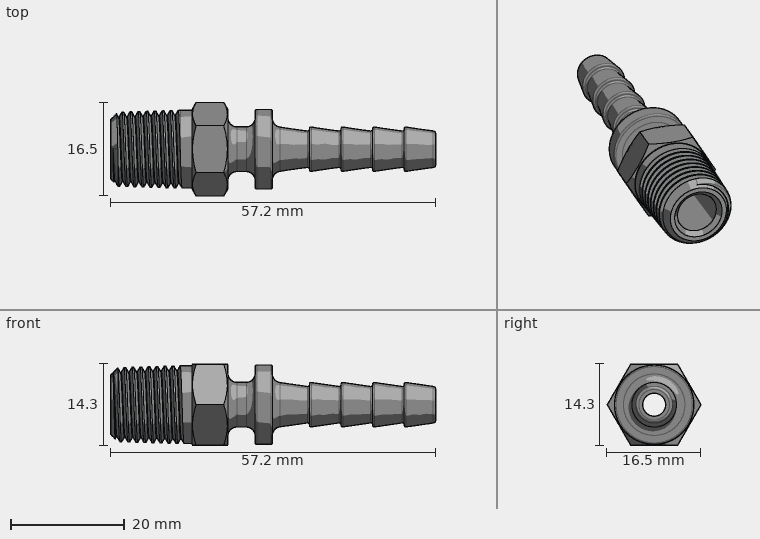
import cadquery as cq
import math

INCH = 25.4


THREAD_PITCH = INCH / 18
THREAD_RADIUS = 0.540 * INCH / 2
THREAD_TAPER = 1 / 32
TAPER_END = 12.25
FLANK_ANGLE = 30.0
CREST_FLAT = 0.3
ROOT_FLAT = 0.15
GROOVE_LAST_BOTTOM = 12.38
GROOVE_TURNS = 10
GROOVE_RUNOUT_TURNS = 0.125
CUTTER_OVERLAP = 0.1
ENTRY_FACE_RADIUS = 5.2

HEX_START = 9 / 16 * INCH
HEX_END = HEX_START + INCH / 4
HEX_SIDES = 6
HEX_FLATS = 9 / 16 * INCH
HEX_CHAMFER_RADIUS = 6.95
HEX_CHAMFER_LENGTH = 0.75

NECK_RADIUS = 3.95
NECK_FILLET = 1.55
FLANGE_START = 1.0 * INCH
FLANGE_WIDTH = 3.05
FLANGE_END = FLANGE_START + FLANGE_WIDTH
FLANGE_RADIUS = 7.0
FLANGE_ROUND = 0.3

TOTAL_LENGTH = 2.25 * INCH
BARB_COUNT = 4
FIRST_BARB = 1.375 * INCH
BARB_PITCH = (TOTAL_LENGTH - FIRST_BARB) / BARB_COUNT
BARB_RADIUS = 3.97
TAIL_ROOT_RADIUS = 3.17
TAIL_FILLET = 1.5
BARB_ROUND = 0.3
TIP_ROUND = 0.55

BORE_RADIUS = 2.0
ENTRY_BORE_RADIUS = 3.6
ENTRY_BORE_DEPTH = HEX_START
ENTRY_CHAMFER = 0.8
DRILL_HALF_ANGLE = 59.0

EDGE_TOLERANCE = 0.01


def revolve_about_x(points):
    """Solid of revolution about X from a closed (x, radius) outline."""
    return cq.Workplane("XZ").polyline(points).close().revolve(360, (0, 0, 0), (1, 0, 0))


def fillet_circle(body, x, radius, size):
    """Round the circular edge of the given radius that lies at x."""
    reach = radius + EDGE_TOLERANCE
    inner = radius - EDGE_TOLERANCE
    within_reach = cq.selectors.BoxSelector(
        (x - EDGE_TOLERANCE, -reach, -reach), (x + EDGE_TOLERANCE, reach, reach), boundingbox=True)
    smaller = cq.selectors.BoxSelector(
        (x - EDGE_TOLERANCE, -inner, -inner), (x + EDGE_TOLERANCE, inner, inner), boundingbox=True)
    return body.edges("%CIRCLE").edges(within_reach - smaller).fillet(size)


def thread_groove():
    """Helical trapezoid cutter on the thread cone, ending just past the -Z side."""
    slope = math.tan(math.radians(FLANK_ANGLE))
    crest_half = (THREAD_PITCH - CREST_FLAT) / 2
    root_half = ROOT_FLAT / 2
    depth = (crest_half - root_half) / slope
    outer_half = crest_half + CUTTER_OVERLAP * slope

    start = GROOVE_LAST_BOTTOM - GROOVE_TURNS * THREAD_PITCH
    length = (GROOVE_TURNS + GROOVE_RUNOUT_TURNS) * THREAD_PITCH
    start_radius = THREAD_RADIUS - (TAPER_END - start) * THREAD_TAPER
    path = cq.Wire.makeHelix(
        THREAD_PITCH, length, start_radius, angle=math.degrees(math.atan(THREAD_TAPER)))
    profile = cq.Workplane("XZ").polyline([
        (start_radius + CUTTER_OVERLAP, -outer_half),
        (start_radius + CUTTER_OVERLAP, outer_half),
        (start_radius - depth, root_half),
        (start_radius - depth, -root_half),
    ]).close()
    cutter = profile.sweep(cq.Workplane(obj=path), isFrenet=True)
    return cutter.rotate((0, 0, 0), (0, 1, 0), 90).translate((start, 0, 0))


def make_thread():
    """Chamfered taper blank and plain collar, with the helical groove cut in."""
    taper_start_radius = THREAD_RADIUS - TAPER_END * THREAD_TAPER
    chamfer_length = (taper_start_radius - ENTRY_FACE_RADIUS) / (1 - THREAD_TAPER)
    chamfer_radius = ENTRY_FACE_RADIUS + chamfer_length
    taper_middle = ((chamfer_length + TAPER_END) / 2, (chamfer_radius + THREAD_RADIUS) / 2)
    blank = (
        cq.Workplane("XZ").lineTo(0, ENTRY_FACE_RADIUS)
        .lineTo(chamfer_length, chamfer_radius)
        .spline([taper_middle, (TAPER_END, THREAD_RADIUS)], includeCurrent=True)
        .lineTo(HEX_START, THREAD_RADIUS)
        .lineTo(HEX_START, 0).close()
        .revolve(360, (0, 0, 0), (1, 0, 0))
    )
    return blank.cut(thread_groove())


def make_hex():
    corner_radius = HEX_FLATS / 2 / math.cos(math.pi / HEX_SIDES)
    prism = (
        cq.Workplane("YZ").workplane(offset=HEX_START)
        .polygon(HEX_SIDES, 2 * corner_radius).extrude(HEX_END - HEX_START)
    )
    envelope = revolve_about_x([
        (HEX_START, 0),
        (HEX_START, HEX_CHAMFER_RADIUS),
        (HEX_START + HEX_CHAMFER_LENGTH, corner_radius),
        (HEX_END - HEX_CHAMFER_LENGTH, corner_radius),
        (HEX_END, HEX_CHAMFER_RADIUS),
        (HEX_END, 0),
    ])
    return prism.intersect(envelope)


def make_neck():
    """Waist between hex and flange, flaring with a fillet at both ends."""
    flare_radius = NECK_RADIUS + NECK_FILLET
    bend = NECK_FILLET * math.sqrt(0.5)
    outline = (
        cq.Workplane("XZ").moveTo(HEX_END, 0).lineTo(HEX_END, flare_radius)
        .threePointArc(
            (HEX_END + NECK_FILLET - bend, flare_radius - bend),
            (HEX_END + NECK_FILLET, NECK_RADIUS))
        .lineTo(FLANGE_START - NECK_FILLET, NECK_RADIUS)
        .threePointArc(
            (FLANGE_START - NECK_FILLET + bend, flare_radius - bend),
            (FLANGE_START, flare_radius))
        .lineTo(FLANGE_START, 0).close()
    )
    return outline.revolve(360, (0, 0, 0), (1, 0, 0))


def make_flange_and_tail():
    barb_starts = [FIRST_BARB + i * BARB_PITCH for i in range(BARB_COUNT)]
    cone_ends = barb_starts[1:] + [TOTAL_LENGTH]
    cone_slope = (BARB_RADIUS - TAIL_ROOT_RADIUS) / BARB_PITCH
    tail_start_radius = TAIL_ROOT_RADIUS + cone_slope * (FIRST_BARB - FLANGE_END)

    outline = [
        (FLANGE_START, 0),
        (FLANGE_START, FLANGE_RADIUS),
        (FLANGE_END, FLANGE_RADIUS),
        (FLANGE_END, tail_start_radius),
        (FIRST_BARB, TAIL_ROOT_RADIUS),
    ]
    for start, end in zip(barb_starts, cone_ends):
        outline += [(start, BARB_RADIUS), (end, TAIL_ROOT_RADIUS)]
    outline.append((TOTAL_LENGTH, 0))
    body = revolve_about_x(outline)

    for x in (FLANGE_START, FLANGE_END):
        body = fillet_circle(body, x, FLANGE_RADIUS, FLANGE_ROUND)
    body = fillet_circle(body, FLANGE_END, tail_start_radius, TAIL_FILLET)
    for x in barb_starts:
        body = fillet_circle(body, x, BARB_RADIUS, BARB_ROUND)
        body = fillet_circle(body, x, TAIL_ROOT_RADIUS, BARB_ROUND)
    return fillet_circle(body, TOTAL_LENGTH, TAIL_ROOT_RADIUS, TIP_ROUND)


def make_bore():
    """Through bore, wider entry bore with a drill-point floor, and entry chamfer."""
    drill_point = (ENTRY_BORE_RADIUS - BORE_RADIUS) / math.tan(math.radians(DRILL_HALF_ANGLE))
    return revolve_about_x([
        (0, 0),
        (0, ENTRY_BORE_RADIUS + ENTRY_CHAMFER),
        (ENTRY_CHAMFER, ENTRY_BORE_RADIUS),
        (ENTRY_BORE_DEPTH, ENTRY_BORE_RADIUS),
        (ENTRY_BORE_DEPTH + drill_point, BORE_RADIUS),
        (TOTAL_LENGTH, BORE_RADIUS),
        (TOTAL_LENGTH, 0),
    ])


outside = make_thread().union(make_hex()).union(make_neck()).union(make_flange_and_tail())
result = outside.cut(make_bore())